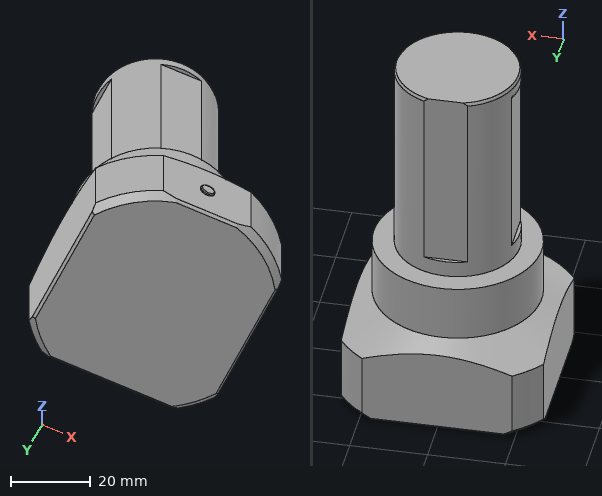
import cadquery as cq
import math

total_height = 93.0
collar_top = 40.0
collar_bottom = 25.0

base_radius = 32.4
side_flat = 25.99
front_flat = 29.9
round_edge_chamfer = 1.95
flat_edge_chamfer = 0.7
shoulder_slope = 30.0

collar_radius = 21.6
stem_radius = 16.0
stem_top_chamfer_width = 0.4
stem_top_chamfer_height = 0.8

stem_flat = 15.0
stem_flat_bottom = 44.4
stem_flat_top = 89.6

pin_radius = 1.95
pin_length = 0.65
pin_chamfer = 0.3
pin_height = 10.4

shoulder_height = (base_radius - collar_radius) * math.tan(math.radians(shoulder_slope))
shoulder_bottom = collar_bottom - shoulder_height


def make_base():
    """Revolved base with a conical shoulder, trimmed by a chamfered block."""
    turned = (
        cq.Workplane("XZ")
        .moveTo(0, 0)
        .lineTo(base_radius - round_edge_chamfer, 0)
        .lineTo(base_radius, round_edge_chamfer)
        .lineTo(base_radius, shoulder_bottom)
        .lineTo(collar_radius, collar_bottom)
        .lineTo(0, collar_bottom)
        .close()
        .revolve(360, (0, 0, 0), (0, 1, 0))
    )
    trimming_block = (
        cq.Workplane("XY")
        .center(0, (side_flat - front_flat) / 2)
        .rect(2 * side_flat, side_flat + front_flat)
        .extrude(collar_bottom)
        .faces("<Z")
        .chamfer(flat_edge_chamfer)
    )
    return turned.intersect(trimming_block)


def make_collar():
    return cq.Workplane("XY").workplane(offset=collar_bottom).circle(collar_radius).extrude(
        collar_top - collar_bottom
    )


def stem_flat_cutter(angle, top):
    """Block that leaves a flat on the stem, facing the given angle from +X."""
    return (
        cq.Workplane("XY")
        .box(stem_radius, 2 * stem_radius, top - stem_flat_bottom, centered=(False, True, False))
        .translate((stem_flat, 0, stem_flat_bottom))
        .rotate((0, 0, 0), (0, 0, 1), angle)
    )


def make_stem():
    """Round stem with pockets facing -X and -Y and an open-topped flat facing +Y."""
    stem = (
        cq.Workplane("XY")
        .workplane(offset=collar_top)
        .circle(stem_radius)
        .extrude(total_height - collar_top)
        .faces(">Z")
        .chamfer(stem_top_chamfer_height, stem_top_chamfer_width)
    )
    for angle, top in ((180, stem_flat_top), (270, stem_flat_top), (90, total_height)):
        stem = stem.cut(stem_flat_cutter(angle, top))
    return stem


def make_pin():
    return (
        cq.Workplane("XZ", origin=(0, -front_flat, pin_height))
        .circle(pin_radius)
        .extrude(pin_length)
        .faces("<Y")
        .chamfer(pin_chamfer)
    )


result = make_base().union(make_collar()).union(make_stem()).union(make_pin())